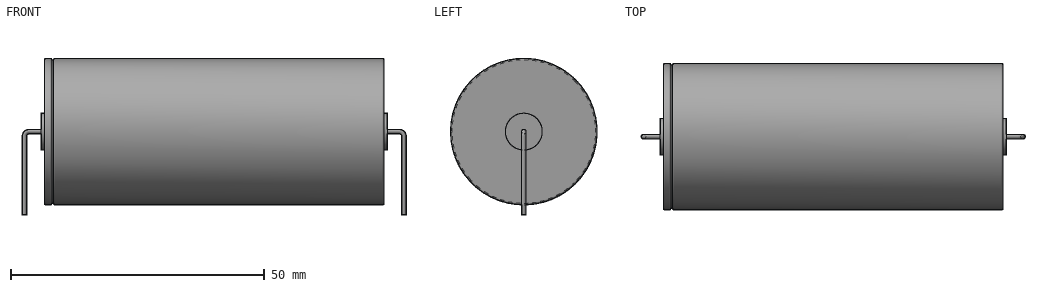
import cadquery as cq
import math

overall_length = 75.9
body_diameter = 29.0
overall_height = 31.0

body_length = 67.1
edge_fillet = 0.3
rim_length = 1.45
groove_floor_width = 0.4

boss_diameter = 7.3
boss_height = 0.7

lead_diameter = 0.9
lead_bend_radius = 0.9

body_radius = body_diameter / 2
body_end = body_length / 2
boss_end = body_end + boss_height
groove_depth = edge_fillet
lead_x = overall_length / 2 - lead_diameter / 2
lead_bottom = body_radius - overall_height


def rod(diameter, start, end):
    """Cylinder along the X axis from start to end."""
    return cq.Workplane("YZ", origin=(start, 0, 0)).circle(diameter / 2).extrude(end - start)


def can():
    """Rim and main cylinder with rounded edges, joined by the groove's core."""
    main_start = -body_end + rim_length + groove_floor_width
    rim = rod(body_diameter, -body_end, -body_end + rim_length).edges().fillet(edge_fillet)
    main = rod(body_diameter, main_start, body_end).edges().fillet(edge_fillet)
    core = rod(body_diameter - 2 * groove_depth, -body_end, body_end)
    return core.union(rim).union(main)


def lead(side):
    """Wire leaving the boss along X and bending down; side is -1 or +1."""
    bend_start = lead_x - lead_bend_radius
    bend_mid = lead_bend_radius * math.sin(math.radians(45))
    path = (
        cq.Workplane("XZ")
        .moveTo(side * body_end, 0)
        .lineTo(side * bend_start, 0)
        .threePointArc(
            (side * (bend_start + bend_mid), bend_mid - lead_bend_radius),
            (side * lead_x, -lead_bend_radius),
        )
        .lineTo(side * lead_x, lead_bottom)
    )
    section = cq.Workplane("YZ", origin=(side * body_end, 0, 0)).circle(lead_diameter / 2)
    return section.sweep(path)


result = can().union(rod(boss_diameter, -boss_end, boss_end))
for end_side in (-1, 1):
    result = result.union(lead(end_side))